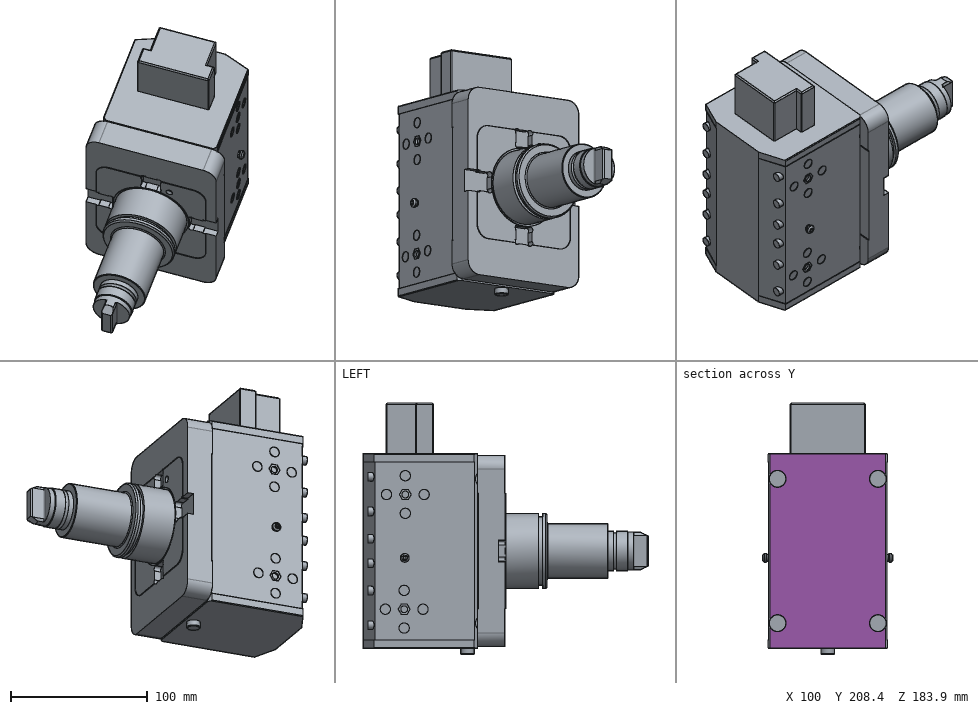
import cadquery as cq
import math


plate_width = 100.0
plate_height = 139.7
plate_thickness = 20.0
plate_corner_radius = 10.0
pad_size = 84.2
pad_height = 0.6
pad_corner_radius = 10.0
pad_bore_diameter = 58.0
back_relief_depth = 0.6

housing_half_x = 43.8
housing_front_y = pad_height + plate_thickness
housing_back_y = 104.2
housing_half_z = 71.0
front_chamfer = 2.5
back_flat_half_x = 23.4
back_corner_drop = 8.1
cover_thickness = 6.0
core_inset = 0.5
cover_edge_chamfer = 0.6

slot_floor_y = 5.2
slot_half_width = 7.3
slot_mouth_half_width = 8.1
slot_mouth_start = 40.0
slot_inner_end = 29.6
slot_outer_end = 42.5
relief_radius = 2.0
relief_overhang = 0.6

collar_diameter = 55.0
collar_groove_diameter = 50.2
collar_groove_start = 24.0
collar_groove_end = 27.0
collar_chamfer_start = 29.0
collar_end = 30.2
collar_chamfer_diameter = 53.0
shank_diameter = 40.0
shank_root_diameter = 42.1
shank_root_length = 0.6
shank_end = 74.9
shank_chamfer = 0.52
spigot_diameter = 29.0
spigot_groove_centre = 79.9
spigot_groove_radius = 1.3
spigot_end = 88.8
end_disc_diameter = 28.0
disc_step_chamfer = 0.52
end_disc_end = 93.2

tongue_half_width = 4.2
tongue_end = 104.2
tongue_tip_chamfer = 3.1
tongue_tip_slope_length = 2 * tongue_tip_chamfer
tongue_face_half_height = 11.5
tongue_bevel_width = 1.0
tongue_side_chamfer = 1.0
tongue_root_radius = 0.6

block_top_z = 108.2
block_stem_half_x = 21.9
block_head_half_x = 27.5
block_front_y = 52.8
block_step_y = 65.9
block_back_y = 87.5
block_vertical_chamfer = 0.6
block_top_chamfer = 1.0

pin_diameter = 10.0
pin_y = 28.0
pin_end_z = -75.7
pin_chamfer = 0.6
back_screw_diameter = 6.5
back_screw_x = 38.5
back_screw_top_y = 100.5
back_screw_root_y = 87.5
back_screw_z = (9.0, 29.0, 54.2)
corner_hole_diameter = 12.0
corner_hole_x = 36.7
corner_hole_z = 52.8
corner_hole_depth = 2.0
port_centres = ((73.4, 41.3), (74.2, -42.5))
port_plug_offset = 13.8
port_plug_count = 4
port_plug_diameter = 7.5
port_recess = 0.5
port_hex_flats = 7.5
port_bore_diameter = 5.0
port_bore_depth = 2.0
nipple_centre = (73.8, -5.0)
nipple_diameter = 6.5
nipple_tip_x = 47.5
nipple_neck_diameter = 5.0
nipple_neck_length = 1.0
nipple_base_chamfer = 0.6
nipple_tip_chamfer = 1.3
nipple_bore_diameter = 2.0
nipple_bore_depth = 2.0
nozzle_x = 14.2
nozzle_z = 32.0
nozzle_diameter = 5.0
nozzle_bore_diameter = 1.7
nozzle_cone_depth = 1.7
nozzle_depth = 4.2

side_face_x = housing_half_x - core_inset


def rod_y(diameter, x, z, y_start, y_end):
    """Cylinder parallel to Y."""
    section = cq.Workplane("XZ", origin=(0, y_end, 0)).center(x, z).circle(diameter / 2)
    return section.extrude(y_end - y_start)


def slab_y(width, height, y_start, y_end):
    """Block centred on the Y axis."""
    return cq.Workplane("XZ", origin=(0, y_end, 0)).rect(width, height).extrude(y_end - y_start)


def housing_prism(inset, z_start, z_end):
    """Housing cross-section pulled in on its sides and sloped back corners."""
    half_x = housing_half_x - inset
    right_side = [
        (housing_half_x - front_chamfer, housing_front_y),
        (half_x, housing_front_y + front_chamfer - inset),
        (half_x, housing_back_y - back_corner_drop - inset),
        (back_flat_half_x - inset, housing_back_y),
    ]
    left_side = [(-x, y) for x, y in reversed(right_side)]
    outline = cq.Workplane("XY", origin=(0, 0, z_start)).polyline(right_side + left_side).close()
    return outline.extrude(z_end - z_start)


def make_housing():
    cover_inner_z = housing_half_z - cover_thickness
    core = housing_prism(core_inset, -cover_inner_z, cover_inner_z)
    top_cover = housing_prism(0, cover_inner_z, housing_half_z)
    top_cover = top_cover.faces(">Z").edges("|Y").chamfer(cover_edge_chamfer)
    body = core.union(top_cover).union(top_cover.mirror("XY"))
    for x in (-corner_hole_x, corner_hole_x):
        for z in (-corner_hole_z, corner_hole_z):
            hole_end_y = housing_front_y + corner_hole_depth
            body = body.cut(rod_y(corner_hole_diameter, x, z, housing_front_y, hole_end_y))
    for x in (-back_screw_x, back_screw_x):
        for z in back_screw_z:
            for screw_z in (-z, z):
                screw = rod_y(back_screw_diameter, x, screw_z, back_screw_root_y, back_screw_top_y)
                body = body.union(screw)
    return body


def slot_block(x_start, x_end, half_width):
    """Block from the pad face down to the slot floor."""
    block = cq.Workplane("XY", origin=(x_start, 0, 0))
    return block.box(x_end - x_start, slot_floor_y, 2 * half_width, centered=(False, False, True))


def corner_reliefs(x):
    """Pair of round reliefs at the two corners of a slot end."""
    relief_z = slot_half_width + relief_overhang - relief_radius
    upper = rod_y(2 * relief_radius, x, relief_z, 0, slot_floor_y)
    return upper.union(upper.mirror("XY"))


def make_key_slots():
    relief_offset = relief_radius - relief_overhang
    inner_reliefs = corner_reliefs(slot_inner_end + relief_offset)
    outer_reliefs = corner_reliefs(slot_outer_end - relief_offset)
    mouth = slot_block(slot_mouth_start, plate_width / 2, slot_mouth_half_width)
    open_slot = slot_block(slot_inner_end, plate_width / 2, slot_half_width)
    open_slot = open_slot.union(inner_reliefs).union(mouth)
    closed_slot = slot_block(slot_inner_end, slot_outer_end, slot_half_width)
    closed_slot = closed_slot.union(inner_reliefs).union(outer_reliefs)
    upright_slot = closed_slot.rotate((0, 0, 0), (0, 1, 0), -90)
    slots = open_slot.union(open_slot.mirror("YZ"))
    return slots.union(upright_slot).union(upright_slot.mirror("XY"))


def make_plate():
    plate = slab_y(plate_width, plate_height, pad_height, housing_front_y)
    plate = plate.edges("|Y").fillet(plate_corner_radius)
    pad = slab_y(pad_size, pad_size, 0, pad_height).edges("|Y").fillet(pad_corner_radius)
    relief = slab_y(plate_width, pad_size, housing_front_y - back_relief_depth, housing_front_y)
    nozzle_bore = rod_y(nozzle_bore_diameter, nozzle_x, nozzle_z, 0, nozzle_depth)
    nozzle_cone = cq.Solid.makeCone(
        nozzle_diameter / 2,
        nozzle_bore_diameter / 2,
        nozzle_cone_depth,
        cq.Vector(nozzle_x, 0, nozzle_z),
        cq.Vector(0, 1, 0),
    )
    bore = rod_y(pad_bore_diameter, 0, 0, 0, pad_height)
    plate = plate.union(pad).cut(bore).cut(relief).cut(make_key_slots())
    return plate.cut(nozzle_bore).cut(cq.Workplane(nozzle_cone))


def make_shank():
    disc_start = spigot_end + disc_step_chamfer
    profile = [
        (collar_diameter, 0),
        (collar_diameter, collar_groove_start),
        (collar_groove_diameter, collar_groove_start),
        (collar_groove_diameter, collar_groove_end),
        (collar_diameter, collar_groove_end),
        (collar_diameter, collar_chamfer_start),
        (collar_chamfer_diameter, collar_end),
        (shank_root_diameter, collar_end),
        (shank_diameter, collar_end + shank_root_length),
        (shank_diameter, shank_end - shank_chamfer),
        (shank_diameter - 2 * shank_chamfer, shank_end),
        (spigot_diameter, shank_end),
        (spigot_diameter, spigot_end),
        (end_disc_diameter, disc_start),
        (end_disc_diameter, end_disc_end),
    ]
    radii = [(0, housing_front_y), (collar_diameter / 2, housing_front_y)]
    radii += [(diameter / 2, -distance) for diameter, distance in profile]
    radii.append((0, -end_disc_end))
    shank = cq.Workplane("XY").polyline(radii).close().revolve(360, (0, 0, 0), (0, 1, 0))
    groove = cq.Solid.makeTorus(
        spigot_diameter / 2,
        spigot_groove_radius,
        cq.Vector(0, -spigot_groove_centre, 0),
        cq.Vector(0, 1, 0),
    )
    return shank.cut(cq.Workplane(groove))


def make_tongue():
    disc_radius = end_disc_diameter / 2
    root_y = -end_disc_end
    tip_y = -tongue_end
    tip_half_x = tongue_half_width - tongue_side_chamfer
    half_plan = (
        cq.Workplane("XY", origin=(0, 0, -disc_radius))
        .moveTo(0, tip_y)
        .lineTo(tip_half_x, tip_y)
        .lineTo(tongue_half_width, tip_y + tongue_side_chamfer)
        .lineTo(tongue_half_width, root_y - tongue_root_radius)
        .radiusArc((tongue_half_width + tongue_root_radius, root_y), tongue_root_radius)
        .lineTo(0, root_y)
        .close()
        .extrude(2 * disc_radius)
    )
    blade = half_plan.union(half_plan.mirror("YZ"))

    tip_half_z = disc_radius - tongue_tip_chamfer
    tip_slope_start_y = tip_y + tongue_tip_slope_length
    side_profile = [
        (root_y, -disc_radius),
        (tip_slope_start_y, -disc_radius),
        (tip_y, -tip_half_z),
        (tip_y, tip_half_z),
        (tip_slope_start_y, disc_radius),
        (root_y, disc_radius),
    ]
    side_limit = cq.Workplane("YZ").polyline(side_profile).close().extrude(disc_radius, both=True)
    round_limit = rod_y(end_disc_diameter, 0, 0, tip_y, root_y)
    blade = blade.intersect(side_limit).intersect(round_limit)

    bevel_start_y = root_y - tongue_root_radius
    bevel = (
        cq.Workplane("XZ", origin=(0, bevel_start_y, 0))
        .moveTo(tongue_half_width, tongue_face_half_height)
        .lineTo(tongue_half_width, disc_radius)
        .lineTo(tongue_half_width - tongue_bevel_width, disc_radius)
        .close()
        .extrude(bevel_start_y - tip_y)
    )
    bevels = bevel.union(bevel.mirror("YZ"))
    return blade.cut(bevels).cut(bevels.mirror("XY"))


def make_block():
    right_side = [
        (block_head_half_x, block_front_y),
        (block_head_half_x, block_step_y),
        (block_stem_half_x, block_step_y),
        (block_stem_half_x, block_back_y),
    ]
    left_side = [(-x, y) for x, y in reversed(right_side)]
    outline = cq.Workplane("XY", origin=(0, 0, housing_half_z)).polyline(right_side + left_side).close()
    block = outline.extrude(block_top_z - housing_half_z)
    outer_edges = block.edges("|Z and (<X or >X or >Y)")
    block = outer_edges.chamfer(block_vertical_chamfer)
    return block.faces(">Z").edges().chamfer(block_top_chamfer)


def make_pin():
    pin = cq.Workplane("XY", origin=(0, pin_y, -housing_half_z)).circle(pin_diameter / 2)
    return pin.extrude(pin_end_z + housing_half_z).faces("<Z").chamfer(pin_chamfer)


def side_plane():
    """Workplane on the +X side face with local x = Y and local y = Z."""
    return cq.Workplane("YZ", origin=(side_face_x, 0, 0))


def make_side_recesses():
    recesses = cq.Workplane("XY")
    for y, z in port_centres:
        plugs = side_plane().center(y, z).polarArray(port_plug_offset, 0, 360, port_plug_count)
        plugs = plugs.circle(port_plug_diameter / 2).extrude(-port_recess)
        hex_corners = port_hex_flats / math.cos(math.pi / 6)
        hexagon = side_plane().center(y, z).polygon(6, hex_corners).extrude(-port_recess)
        bore = side_plane().center(y, z).circle(port_bore_diameter / 2).extrude(-port_bore_depth)
        recesses = recesses.add(plugs.union(hexagon).union(bore))
    return recesses.combine()


def make_nipple():
    head_x = side_face_x + nipple_neck_length
    neck = side_plane().center(*nipple_centre).circle(nipple_neck_diameter / 2).extrude(nipple_neck_length)
    head = cq.Workplane("YZ", origin=(head_x, 0, 0)).center(*nipple_centre).circle(nipple_diameter / 2)
    head = head.extrude(nipple_tip_x - head_x)
    head = head.faces("<X").chamfer(nipple_base_chamfer).faces(">X").chamfer(nipple_tip_chamfer)
    head = head.faces(">X").workplane().hole(nipple_bore_diameter, nipple_bore_depth)
    return neck.union(head)


side_recesses = make_side_recesses()
nipple = make_nipple()

result = make_housing().union(make_plate()).union(make_shank()).union(make_tongue())
result = result.union(make_block()).union(make_pin())
result = result.cut(side_recesses).cut(side_recesses.mirror("YZ"))
result = result.union(nipple).union(nipple.mirror("YZ"))